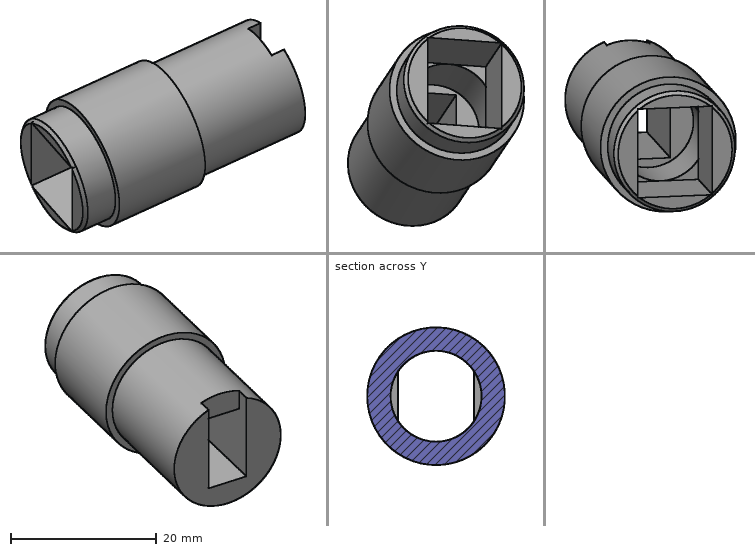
import cadquery as cq

length = 36.0
body_diameter = 17.0
collar_diameter = 19.0
collar_start = 5.0
collar_end = 19.0
entry_chamfer = 0.5

pocket_width = 10.45
pocket_height = 12.5
pocket_depth = 10.15
bore_diameter = pocket_height
bore_end = collar_end
slot_width = 6.0
slot_height = 10.0

notch_width = slot_width
notch_length = 2.0


def cylinder_y(diameter, start, end):
    """Cylinder on the Y axis between two Y positions."""
    return cq.Workplane("XZ", origin=(0, start, 0)).circle(diameter / 2).extrude(start - end)


def box_y(width, height, start, end):
    """Rectangular bar centred on the Y axis between two Y positions."""
    return cq.Workplane("XZ", origin=(0, start, 0)).rect(width, height).extrude(start - end)


def make_outside():
    body = cylinder_y(body_diameter, 0, length).faces("<Y").chamfer(entry_chamfer)
    return body.union(cylinder_y(collar_diameter, collar_start, collar_end))


def make_opening():
    pocket = box_y(pocket_width, pocket_height, 0, pocket_depth)
    bore = cylinder_y(bore_diameter, pocket_depth, bore_end)
    slot = box_y(slot_width, slot_height, 0, length)
    return pocket.union(bore).union(slot)


def make_notch():
    notch_height = body_diameter / 2
    notch = box_y(notch_width, notch_height, length - notch_length, length)
    return notch.translate((0, 0, notch_height / 2))


result = make_outside().cut(make_opening()).cut(make_notch())